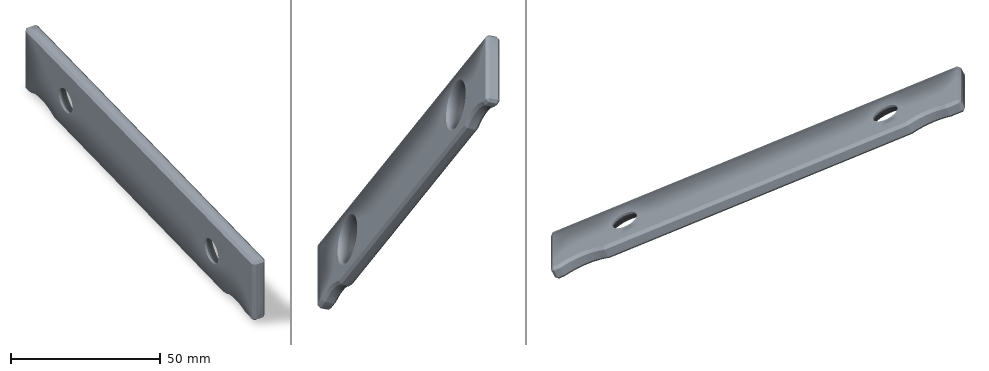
import cadquery as cq
import math

LENGTH = 151.8
THICKNESS = 5.0
HEIGHT = 26.0
BEVEL = 1.0

HOLE_DIAMETER = 9.1
HOLE_INSET = 27.6
SINK_DIAMETER = 17.5
SINK_ANGLE = 90

NOTCH_INSET = 11.5
NOTCH_HALF_WIDTH = 8.2
NOTCH_DEPTH = 2.0
RIGHT_FOOT_RISE = 0.9

half_length = LENGTH / 2
top = HEIGHT / 2
bottom = -HEIGHT / 2
foot_bottom = bottom + RIGHT_FOOT_RISE
left_notch_x = NOTCH_INSET - half_length
right_notch_x = half_length - NOTCH_INSET
hole_x = half_length - HOLE_INSET
notch_top = bottom + NOTCH_DEPTH
notch_radius = (NOTCH_HALF_WIDTH**2 + NOTCH_DEPTH**2) / (2 * NOTCH_DEPTH)

foot_sag = NOTCH_DEPTH - RIGHT_FOOT_RISE
foot_half_width = math.sqrt(2 * notch_radius * foot_sag - foot_sag**2)


def make_plate():
    """Plate with both notches, centred on the origin."""
    return (
        cq.Workplane("XZ")
        .moveTo(-half_length, top)
        .lineTo(-half_length, bottom)
        .lineTo(left_notch_x - NOTCH_HALF_WIDTH, bottom)
        .threePointArc((left_notch_x, notch_top), (left_notch_x + NOTCH_HALF_WIDTH, bottom))
        .lineTo(right_notch_x - NOTCH_HALF_WIDTH, bottom)
        .threePointArc((right_notch_x, notch_top), (right_notch_x + foot_half_width, foot_bottom))
        .lineTo(half_length, foot_bottom)
        .lineTo(half_length, top)
        .close()
        .extrude(THICKNESS / 2, both=True)
    )


def bevel_edges(plate):
    """Bevel both face outlines together with the four end corners."""
    corners = plate.faces("<X or >X").edges("|Y")
    outlines = plate.faces("<Y or >Y").edges()
    return corners.add(outlines).chamfer(BEVEL)


def drill_holes(plate):
    """Drill the mounting holes through and countersink them from the +Y face."""
    return (
        plate.faces(">Y")
        .workplane(origin=(0, 0, 0))
        .pushPoints([(-hole_x, 0), (hole_x, 0)])
        .cskHole(HOLE_DIAMETER, SINK_DIAMETER, SINK_ANGLE)
    )


result = drill_holes(bevel_edges(make_plate()))